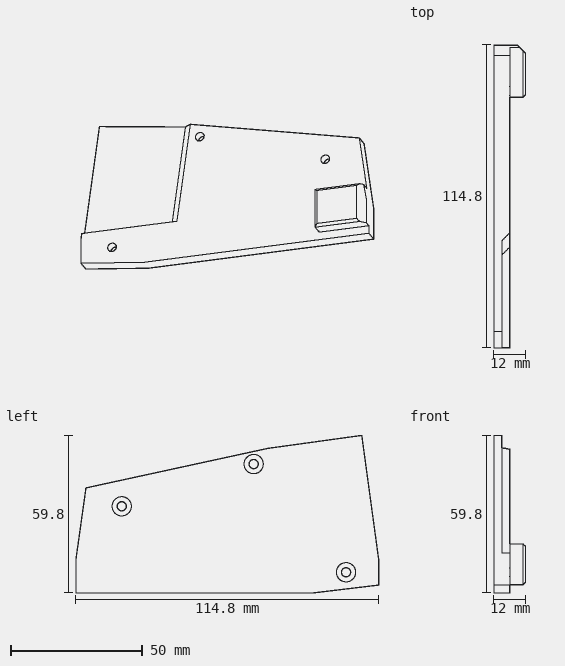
import cadquery as cq

length = 114.8
height = 59.82
side_bend_height = 12.85
front_toe_height = 3.0
toe_length = 25.0
peak_y = 6.4
ridge_y = 42.0
ridge_height = 54.9
rear_top_y = 111.0
rear_top_height = 39.9

plate_thickness = 6.0
thin_thickness = 3.0
block_thickness = 6.0

ledge_height = 15.2
recess_floor_y = 35.3
recess_clearance = 5.0

block_front_y = 95.0
block_bottom = 3.1
block_top = 18.7
block_chamfer = 1.0
block_rear_chamfer = 3.0

hole_diameter = 3.4
countersink_diameter = 7.3
countersink_angle = 90.0
hole_centres = [(97.4, 32.9), (47.4, 48.9), (12.4, 7.9)]

front_lean = peak_y / (height - side_bend_height)
rear_lean = (length - rear_top_y) / (rear_top_height - side_bend_height)


def side_profile(points, x):
    """Closed outline of (y, z) points on the plane at the given x."""
    return cq.Workplane("YZ", origin=(x, 0, 0)).polyline(points).close()


def make_plate():
    outline = [
        (0, front_toe_height),
        (toe_length, 0),
        (length, 0),
        (length, side_bend_height),
        (rear_top_y, rear_top_height),
        (ridge_y, ridge_height),
        (peak_y, height),
        (0, side_bend_height),
    ]
    return side_profile(outline, 0).extrude(plate_thickness)


def make_recess():
    """Cutter whose rear wall is parallel to the front end and flares at 45 degrees towards +X."""
    top = height + recess_clearance
    wall_shift = front_lean * (top - ledge_height)
    depth = plate_thickness - thin_thickness

    def section(x, flare):
        wall_y = recess_floor_y + flare
        corners = [
            (-recess_clearance, ledge_height),
            (wall_y, ledge_height),
            (wall_y + wall_shift, top),
            (-recess_clearance, top),
        ]
        return side_profile(corners, x).wires().val()

    floor = section(thin_thickness, 0)
    opening = section(plate_thickness, depth)
    return cq.Workplane(cq.Solid.makeLoft([floor, opening], True))


def make_block():
    top_inset = rear_lean * (block_top - side_bend_height)
    outline = [
        (block_front_y, block_bottom),
        (length, block_bottom),
        (length, side_bend_height),
        (length - top_inset, block_top),
        (block_front_y, block_top),
    ]
    block = side_profile(outline, plate_thickness).extrude(block_thickness)
    outer_x = plate_thickness + block_thickness
    rear_cut = (
        cq.Workplane("XY")
        .moveTo(outer_x - block_rear_chamfer, length)
        .lineTo(outer_x, length)
        .lineTo(outer_x, length - block_rear_chamfer)
        .close()
        .extrude(height)
    )
    block = block.faces(">X").edges("<Y or <Z or >Z").chamfer(block_chamfer)
    return block.cut(rear_cut)


def drill_holes(body):
    return (
        body.faces("<X")
        .workplane(origin=(0, 0, 0))
        .pushPoints([(-y, z) for y, z in hole_centres])
        .cskHole(hole_diameter, countersink_diameter, countersink_angle)
    )


plate = make_plate().cut(make_recess())
result = drill_holes(plate).union(make_block())